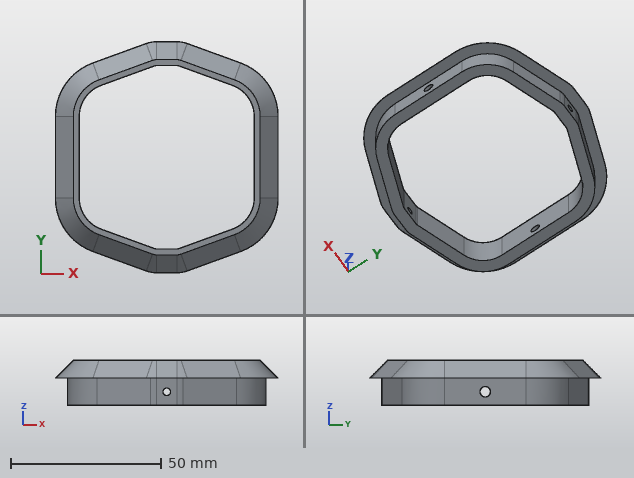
import cadquery as cq
import math

SIZE_X = 74.2
SIZE_Y = 77.0
HEIGHT = 15.0
FLANGE_HEIGHT = 6.0

RIM_OFFSET = 2.0
WALL_OFFSET = 4.0
FLANGE_OFFSET = RIM_OFFSET + FLANGE_HEIGHT

END_FLAT_HALF = 3.4
END_RADIUS = 2.0
CORNER_RADIUS = 11.0
SLOPE_ANGLE = math.radians(20)

END_HOLE_DIAMETER = 2.5
SIDE_HOLE_DIAMETER = 3.4

skirt_height = HEIGHT - FLANGE_HEIGHT
hole_z = skirt_height / 2

end_center = (END_FLAT_HALF, SIZE_Y / 2 - FLANGE_OFFSET - END_RADIUS)
corner_x = SIZE_X / 2 - FLANGE_OFFSET - CORNER_RADIUS
corner_y = end_center[1] - (
    CORNER_RADIUS - END_RADIUS + (corner_x - END_FLAT_HALF) * math.sin(SLOPE_ANGLE)
) / math.cos(SLOPE_ANGLE)
corner_center = (corner_x, corner_y)


def arc_points(center, radius, start, end):
    """Start, middle and end points of an arc about center."""
    return [
        (center[0] + radius * math.cos(a), center[1] + radius * math.sin(a))
        for a in (start, (start + end) / 2, end)
    ]


def profile(plane, offset):
    """Draw the opening outline, moved outward by offset, counter-clockwise."""
    slope_normal = math.pi / 2 - SLOPE_ANGLE
    corner = arc_points(corner_center, CORNER_RADIUS + offset, 0, slope_normal)
    end = arc_points(end_center, END_RADIUS + offset, slope_normal, math.pi / 2)
    arcs = []
    for sign_x, sign_y in ((1, 1), (-1, 1), (-1, -1), (1, -1)):
        pair = [[(sign_x * x, sign_y * y) for x, y in arc] for arc in (corner, end)]
        if sign_x * sign_y < 0:
            pair = [arc[::-1] for arc in reversed(pair)]
        arcs += pair
    outline = plane.moveTo(*arcs[0][0])
    for index, (start, middle, finish) in enumerate(arcs):
        if index > 0:
            outline = outline.lineTo(*start)
        outline = outline.threePointArc(middle, finish)
    return outline.close()


def make_skirt():
    return profile(cq.Workplane("XY"), WALL_OFFSET).extrude(skirt_height)


def make_flange():
    base = profile(cq.Workplane("XY").workplane(offset=skirt_height), FLANGE_OFFSET)
    return profile(base.workplane(offset=FLANGE_HEIGHT), RIM_OFFSET).loft(ruled=True)


def make_hole(plane_name, diameter, length):
    """Cylinder through both opposite walls."""
    plane = cq.Workplane(plane_name).center(0, hole_z)
    return plane.circle(diameter / 2).extrude(length / 2, both=True)


opening = profile(cq.Workplane("XY"), 0).extrude(HEIGHT)

result = (
    make_skirt()
    .union(make_flange())
    .cut(opening)
    .cut(make_hole("XZ", END_HOLE_DIAMETER, SIZE_Y))
    .cut(make_hole("YZ", SIDE_HOLE_DIAMETER, SIZE_X))
)